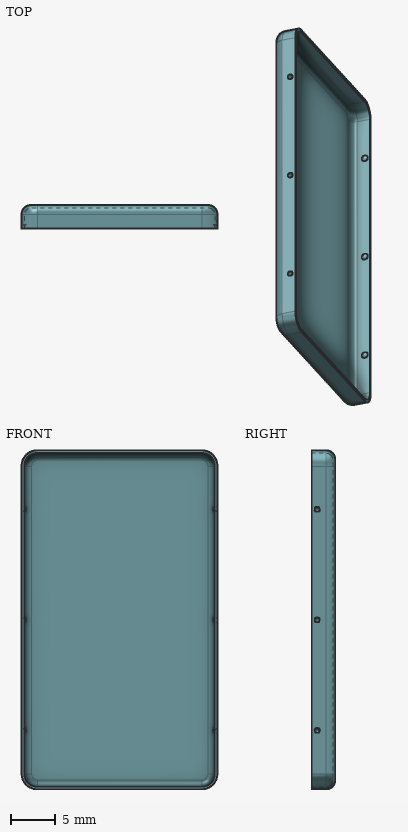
import cadquery as cq

width = 22.2
depth = 2.7
height = 38.4
corner_radius = 1.8
back_edge_radius = 1.08

wall = 0.3
floor = wall
inner_corner_radius = corner_radius - wall
inner_edge_radius = 0.8

dimple_radius = 0.288
dimple_spacing = 12.5
dimple_from_rim = 0.6
bump_protrusion = 0.173

rim_y = -depth / 2
dimple_y = rim_y + dimple_from_rim


def rounded_block(block_width, block_height, block_depth, corner, back_edge):
    """Block starting at the rim, with round corners and a rounded +Y edge."""
    return (
        cq.Workplane("XY")
        .box(block_width, block_depth, block_height)
        .translate((0, rim_y + block_depth / 2, 0))
        .edges("|Y")
        .fillet(corner)
        .faces(">Y")
        .edges()
        .fillet(back_edge)
    )


def side_spheres(radius):
    """Spheres centred on the outer side faces, three per long side."""
    return [
        cq.Workplane("YZ").sphere(radius).translate((x, dimple_y, z))
        for x in (-width / 2, width / 2)
        for z in (-dimple_spacing, 0, dimple_spacing)
    ]


outer = rounded_block(width, height, depth, corner_radius, back_edge_radius)
cavity = rounded_block(
    width - 2 * wall,
    height - 2 * wall,
    depth - floor,
    inner_corner_radius,
    inner_edge_radius,
)

result = outer.cut(cavity)
for bump in side_spheres(wall + bump_protrusion):
    result = result.union(bump.intersect(outer))
for dimple in side_spheres(dimple_radius):
    result = result.cut(dimple)